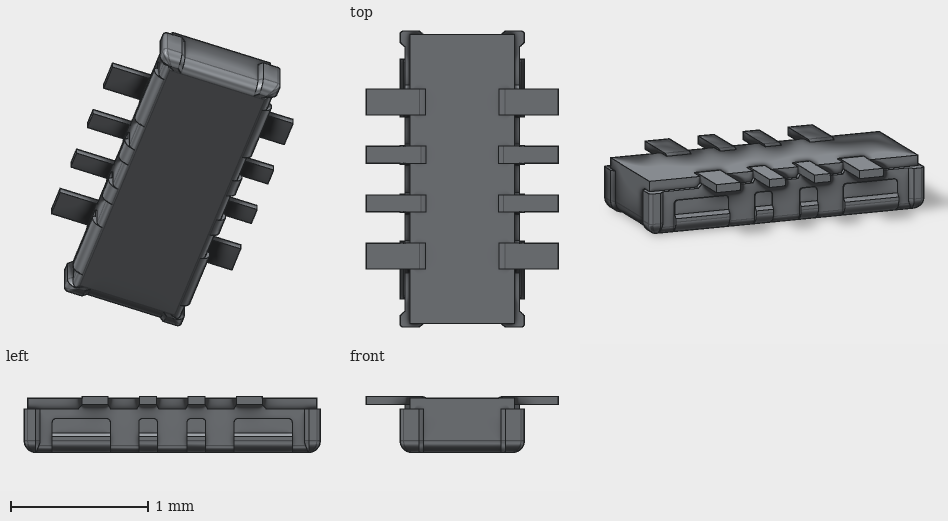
import cadquery as cq

length = 2.16
lead_span = 1.4
height = 0.41

pad_half_width = 0.454
pad_half_length = length / 2
shoulder_height = 0.32
side_recess = 0.035
end_recess = 0.025
wall_half_width = pad_half_width - side_recess
wall_half_length = pad_half_length - end_recess
bottom_radius = 0.09
wall_bottom_radius = 0.052
pad_corner_radius = 0.025
pad_inner_x = 0.315
pad_inner_y = 0.995
pad_taper_run = 0.032

slab_half_width = 0.38
slab_top = 0.397

lead_thickness = 0.06
lead_bottom = height - lead_thickness
flank_run = 0.017
end_flank_run = 0.028
outer_lead = {"center": 0.562, "width": 0.19, "flat_x": 0.313, "tip_x": 0.268}
inner_lead = {"center": 0.177, "width": 0.125, "flat_x": 0.302, "tip_x": 0.264}

panel_half_width = 0.43
tab_top = 0.248
tab_corner_radius = 0.025
foot_slope_top = 0.143
foot_slope_bottom = 0.117
outer_tab = {"y_min": 0.451, "y_max": 0.875}
inner_tab = {"y_min": 0.108, "y_max": 0.245}


def box_between(x_min, x_max, y_min, y_max, z_min, z_max):
    """Axis-aligned box given by its limits."""
    size = (x_max - x_min, y_max - y_min, z_max - z_min)
    return cq.Workplane("XY").box(*size, centered=False).translate((x_min, y_min, z_min))


def round_bottomed_block(half_width, half_length, side_radius, end_radius):
    """Block up to the shoulder with rounded bottom edges meeting at mitred corners."""
    block = box_between(-half_width, half_width, -half_length, half_length, 0, shoulder_height)
    across = block.edges("<Z and |Y").fillet(side_radius)
    along = block.edges("<Z and |X").fillet(end_radius)
    return across.intersect(along)


def in_four_quadrants(shape):
    """The shape in the +X +Y quadrant together with its mirror images."""
    pair = shape.union(shape.mirror("YZ"))
    return pair.union(pair.mirror("XZ"))


def corner_pad():
    """Pad at the +X +Y corner; its two inner ends slant back into the recessed walls."""
    block = round_bottomed_block(pad_half_width, pad_half_length, bottom_radius, bottom_radius)
    corner = block.intersect(
        box_between(pad_inner_x, pad_half_width, pad_inner_y, pad_half_length, 0, shoulder_height)
    )
    side_face = corner.faces("<Y").val()
    end_face = corner.faces("<X").val()
    side_taper = cq.Solid.extrudeLinear(side_face, cq.Vector(-side_recess, -pad_taper_run, 0))
    end_taper = cq.Solid.extrudeLinear(end_face, cq.Vector(-pad_taper_run, -end_recess, 0))
    rounded = corner.edges(">(1, 1, 0) and |Z").fillet(pad_corner_radius)
    return rounded.union(cq.Workplane(side_taper)).union(cq.Workplane(end_taper))


def lead_support(lead, outward_flank):
    """Trapezoidal rise of the +X shoulder under a lead."""
    y_min = lead["center"] - lead["width"] / 2
    y_max = lead["center"] + lead["width"] / 2
    return (
        cq.Workplane("YZ")
        .moveTo(y_min - flank_run, shoulder_height)
        .lineTo(y_max + outward_flank, shoulder_height)
        .lineTo(y_max, lead_bottom)
        .lineTo(y_min, lead_bottom)
        .close()
        .extrude(wall_half_width)
    )


def contact_lead(lead):
    """Flat +X lead whose inner tip curves down into the slab top."""
    drop = height - slab_top
    run = lead["flat_x"] - lead["tip_x"]
    bend_radius = (run**2 + drop**2) / (2 * drop)
    return (
        cq.Workplane("XZ", origin=(0, lead["center"], 0))
        .moveTo(lead_span / 2, lead_bottom)
        .lineTo(lead_span / 2, height)
        .lineTo(lead["flat_x"], height)
        .radiusArc((lead["tip_x"], slab_top), -bend_radius)
        .lineTo(lead["tip_x"], lead_bottom)
        .close()
        .extrude(lead["width"] / 2, both=True)
    )


def side_tab(tab):
    """Tab on the +X wall: round-topped panel over a sloped foot with a rounded bottom."""
    y_min = tab["y_min"]
    y_max = tab["y_max"]
    inner_x = pad_half_width - bottom_radius
    panel = (
        box_between(inner_x, panel_half_width, y_min, y_max, bottom_radius, tab_top)
        .edges(">Z and |X")
        .fillet(tab_corner_radius)
    )
    foot = (
        cq.Workplane("XZ", origin=(0, y_max, 0))
        .moveTo(inner_x, 0)
        .radiusArc((pad_half_width, bottom_radius), -bottom_radius)
        .lineTo(pad_half_width, foot_slope_bottom)
        .lineTo(panel_half_width, foot_slope_top)
        .lineTo(inner_x, foot_slope_top)
        .close()
        .extrude(y_max - y_min)
    )
    return panel.union(foot)


core = round_bottomed_block(wall_half_width, wall_half_length, wall_bottom_radius, bottom_radius)
slab = box_between(
    -slab_half_width, slab_half_width, -wall_half_length, wall_half_length, bottom_radius, slab_top
)
body = core.union(slab)

quadrant_features = [
    corner_pad(),
    side_tab(outer_tab),
    side_tab(inner_tab),
    lead_support(outer_lead, end_flank_run),
    lead_support(inner_lead, flank_run),
    contact_lead(outer_lead),
    contact_lead(inner_lead),
]
for feature in quadrant_features:
    body = body.union(in_four_quadrants(feature))

result = body.clean()